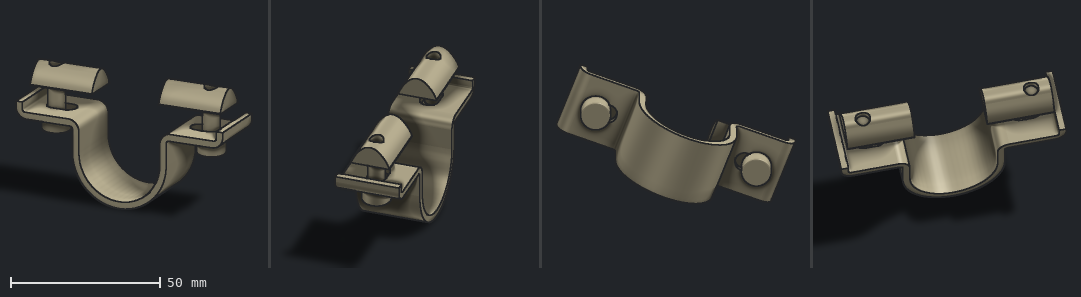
import cadquery as cq

overall_length = 77.0
strap_width = 22.8
thickness = 2.5
saddle_outer_radius = 17.5
saddle_inner_radius = saddle_outer_radius - thickness
flange_top = 11.55
flange_bottom = flange_top - thickness
lip_top = 15.0
bend_outer_radius = 4.0
bend_inner_radius = 1.0

screw_x = 28.8
shank_diameter = 6.0
head_diameter = 10.0
head_height = 6.0
head_edge_radius = 0.5
slot_width = 6.5
slot_travel = 4.2

nut_top = 26.8
nut_height = 7.15
nut_bottom = nut_top - nut_height
nut_length = 23.0
nut_outer_x = 35.4
nut_half_width = 6.85
nut_edge_height = 0.3
crown_half_width = 2.6
crown_drop = 0.9
tip_hole_diameter = 4.9
tip_hole_depth = 3.0


def make_strap():
    """Extrude half of the bent strip and mirror it about the YZ plane."""
    end_x = overall_length / 2
    half = (
        cq.Workplane("XZ")
        .moveTo(0, -saddle_outer_radius)
        .radiusArc((saddle_outer_radius, 0), -saddle_outer_radius)
        .lineTo(saddle_outer_radius, flange_bottom)
        .lineTo(end_x, flange_bottom)
        .lineTo(end_x, lip_top)
        .lineTo(end_x - thickness, lip_top)
        .lineTo(end_x - thickness, flange_top)
        .lineTo(saddle_inner_radius, flange_top)
        .lineTo(saddle_inner_radius, 0)
        .radiusArc((0, -saddle_inner_radius), saddle_inner_radius)
        .close()
        .extrude(strap_width / 2, both=True)
    )

    def bend_edge(x, z):
        return cq.selectors.NearestToPointSelector((x, 0, z))

    for x, z in ((end_x, flange_bottom), (saddle_inner_radius, flange_top)):
        half = half.edges(bend_edge(x, z)).fillet(bend_outer_radius)
    for x, z in ((end_x - thickness, flange_top), (saddle_outer_radius, flange_bottom)):
        half = half.edges(bend_edge(x, z)).fillet(bend_inner_radius)
    return half.union(half.mirror("YZ"))


def make_slot():
    """Slot through the right flange, running inward from the screw."""
    return (
        cq.Workplane("XY", origin=(screw_x - slot_travel / 2, 0, flange_bottom))
        .slot2D(slot_travel + slot_width, slot_width)
        .extrude(thickness)
    )


def make_screw():
    """Right screw: its head bears on the flange and its shank reaches the nut."""
    head = (
        cq.Workplane("XY", origin=(screw_x, 0, flange_bottom - head_height))
        .circle(head_diameter / 2)
        .extrude(head_height)
        .faces("<Z")
        .edges()
        .fillet(head_edge_radius)
    )
    shank = (
        cq.Workplane("XY", origin=(screw_x, 0, flange_bottom))
        .circle(shank_diameter / 2)
        .extrude(nut_bottom - flange_bottom)
    )
    return head.union(shank)


def make_nut():
    """Right nut: a domed bar with a blind hole in its crown above the screw."""
    edge_z = nut_bottom + nut_edge_height
    crown_z = nut_top - crown_drop
    crown_radius = (crown_half_width**2 + crown_drop**2) / (2 * crown_drop)
    half_bar = (
        cq.Workplane("YZ", origin=(nut_outer_x - nut_length, 0, 0))
        .moveTo(0, nut_top)
        .radiusArc((crown_half_width, crown_z), crown_radius)
        .tangentArcPoint((nut_half_width, edge_z), relative=False)
        .lineTo(nut_half_width, nut_bottom)
        .lineTo(0, nut_bottom)
        .close()
        .extrude(nut_length)
    )
    hole = (
        cq.Workplane("XY", origin=(screw_x, 0, nut_top))
        .circle(tip_hole_diameter / 2)
        .extrude(-tip_hole_depth)
    )
    return half_bar.union(half_bar.mirror("XZ")).cut(hole)


slot = make_slot()
fastener = make_screw().union(make_nut())
strap = make_strap().cut(slot).cut(slot.mirror("YZ"))
result = strap.union(fastener).union(fastener.mirror("YZ"))